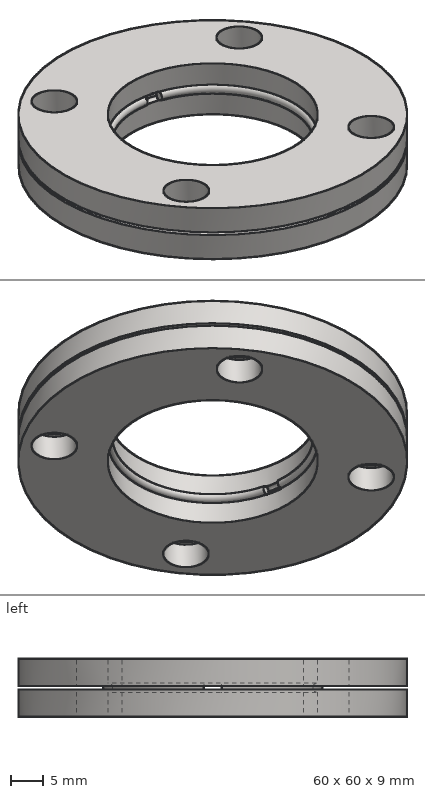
import cadquery as cq

flange_diameter = 60.0
total_height = 9.0
flange_gap = 0.5
bore_diameter = 32.4
bolt_hole_diameter = 7.0
bolt_hole_spacing = 35.05
seal_wire_diameter = 1.5
seal_split_width = 2.7

bore_radius = bore_diameter / 2
flange_thickness = (total_height - flange_gap) / 2


def make_flange(bottom_z):
    """Flat ring with four through holes on a square pattern."""
    return (
        cq.Workplane("XY", origin=(0, 0, bottom_z))
        .circle(flange_diameter / 2)
        .circle(bore_radius)
        .rect(bolt_hole_spacing, bolt_hole_spacing, forConstruction=True)
        .vertices()
        .circle(bolt_hole_diameter / 2)
        .extrude(flange_thickness)
    )


def make_seal_wire():
    """Round wire ring centred on the bore wall."""
    return (
        cq.Workplane("XZ")
        .center(bore_radius, 0)
        .circle(seal_wire_diameter / 2)
        .revolve(360, (-bore_radius, 0), (-bore_radius, 1))
    )


seal_wire = make_seal_wire()

split = cq.Workplane("XY").box(flange_diameter, seal_split_width, seal_wire_diameter)
seal_halves = seal_wire.cut(split)

lower_flange = make_flange(-total_height / 2).cut(seal_wire)
upper_flange = make_flange(flange_gap / 2).cut(seal_wire)

result = lower_flange.union(seal_halves).union(upper_flange)